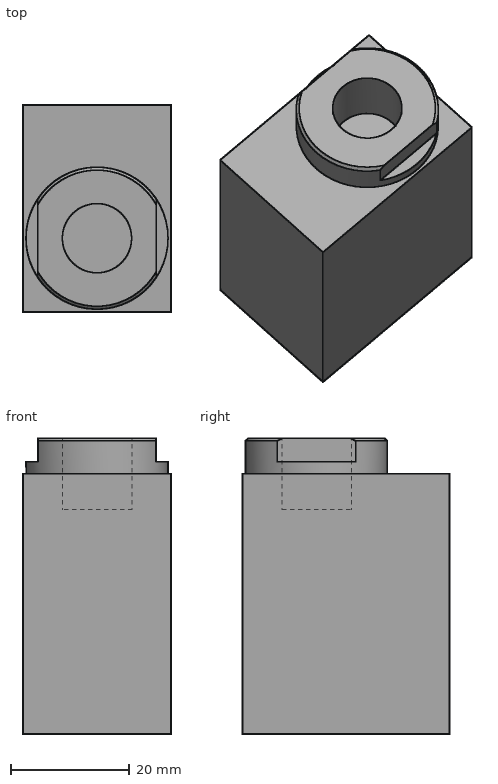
import cadquery as cq

body_width = 25.0
body_depth = 35.0
total_height = 50.0
boss_height = 6.0
body_height = total_height - boss_height

boss_diameter = 24.0
boss_chamfer = 0.5
boss_y = body_width / 2 - body_depth / 2

flat_spacing = 20.0
flat_height = 4.0

bore_diameter = 11.7
bore_depth = 12.0


def make_body():
    return cq.Workplane("XY").box(
        body_width, body_depth, body_height, centered=(True, True, False)
    )


def make_boss():
    boss = (
        cq.Workplane("XY", origin=(0, boss_y, body_height))
        .circle(boss_diameter / 2)
        .extrude(boss_height)
        .faces(">Z")
        .chamfer(boss_chamfer)
    )
    for side in (-1, 1):
        flat_cutter = cq.Workplane("XY").box(
            boss_diameter, boss_diameter, flat_height, centered=(True, True, False)
        )
        cutter_x = side * (flat_spacing + boss_diameter) / 2
        boss = boss.cut(flat_cutter.translate((cutter_x, boss_y, total_height - flat_height)))
    return boss


def make_bore():
    return (
        cq.Workplane("XY", origin=(0, boss_y, total_height))
        .circle(bore_diameter / 2)
        .extrude(-bore_depth)
    )


result = make_body().union(make_boss()).cut(make_bore())